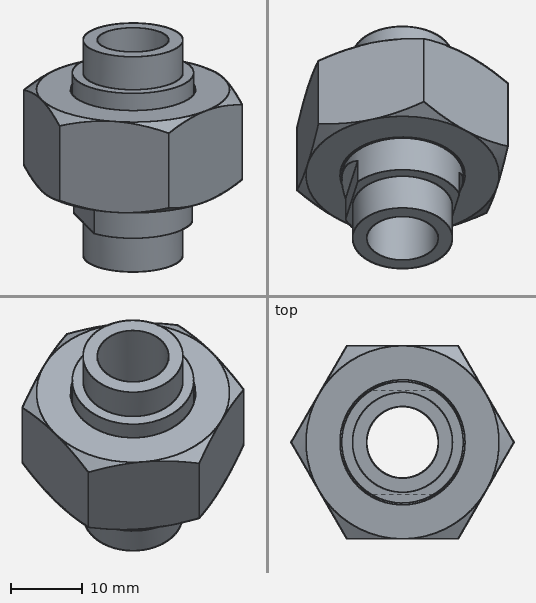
import cadquery as cq
import math

total_height = 32.0
bore_diameter = 10.0
tube_diameter = 14.0
collar_diameter = 17.0

lower_shoulder_z = 5.57
upper_shoulder_z = 27.1

nut_across_flats = 27.0
nut_height = 13.5
nut_bottom_z = 11.15
nut_bore_diameter = 17.5
nut_chamfer_angle = 30.0

wrench_across_flats = 14.5
wrench_flat_height = 3.68

joint_z = nut_bottom_z + nut_height / 2


def cylinder(diameter, bottom_z, top_z):
    return (
        cq.Workplane("XY")
        .workplane(offset=bottom_z)
        .circle(diameter / 2)
        .extrude(top_z - bottom_z)
    )


def tube_end(end_z, shoulder_z):
    """Bored tube with a wider collar running from its shoulder to the joint."""
    tube = cylinder(tube_diameter, min(end_z, joint_z), max(end_z, joint_z))
    collar = cylinder(collar_diameter, min(shoulder_z, joint_z), max(shoulder_z, joint_z))
    return tube.union(collar).cut(cylinder(bore_diameter, 0, total_height))


def wrench_flat_cutter():
    """Wedge that cuts the flat on the +Y side of the lower collar."""
    flat_y = wrench_across_flats / 2
    cut_depth = collar_diameter / 2 - flat_y
    flat_top_z = lower_shoulder_z + wrench_flat_height
    return (
        cq.Workplane("YZ")
        .moveTo(flat_y, lower_shoulder_z)
        .lineTo(flat_y, flat_top_z)
        .lineTo(flat_y + cut_depth, flat_top_z + cut_depth)
        .lineTo(flat_y + cut_depth, lower_shoulder_z)
        .close()
        .extrude(collar_diameter / 2, both=True)
    )


def make_lower_end():
    """Lower tube end, widened inside the nut so that it fills the nut bore."""
    spigot = cylinder(nut_bore_diameter, nut_bottom_z, joint_z)
    spigot = spigot.cut(cylinder(bore_diameter, nut_bottom_z, joint_z))
    body = tube_end(0, lower_shoulder_z).union(spigot)
    for angle in (0, 180):
        body = body.cut(wrench_flat_cutter().rotate((0, 0, 0), (0, 0, 1), angle))
    return body


def make_upper_end():
    return tube_end(total_height, upper_shoulder_z)


def make_nut():
    """Hexagonal nut with both ends turned to a cone that touches the flats."""
    flat_radius = nut_across_flats / 2
    corner_radius = flat_radius / math.cos(math.radians(30))
    chamfer_drop = (corner_radius - flat_radius) * math.tan(math.radians(nut_chamfer_angle))
    nut_top_z = nut_bottom_z + nut_height

    hexagon = (
        cq.Workplane("XY")
        .workplane(offset=nut_bottom_z)
        .polygon(6, 2 * corner_radius)
        .extrude(nut_height)
    )
    turned_blank = (
        cq.Workplane("XZ")
        .moveTo(0, nut_bottom_z)
        .lineTo(flat_radius, nut_bottom_z)
        .lineTo(corner_radius, nut_bottom_z + chamfer_drop)
        .lineTo(corner_radius, nut_top_z - chamfer_drop)
        .lineTo(flat_radius, nut_top_z)
        .lineTo(0, nut_top_z)
        .close()
        .revolve(360, (0, 0, 0), (0, 1, 0))
    )
    nut_bore = cylinder(nut_bore_diameter, nut_bottom_z, nut_top_z)
    return hexagon.intersect(turned_blank).cut(nut_bore)


lower_end = make_lower_end()
upper_end = make_upper_end()
nut = make_nut()

result = cq.Compound.makeCompound([lower_end.val(), upper_end.val(), nut.val()])